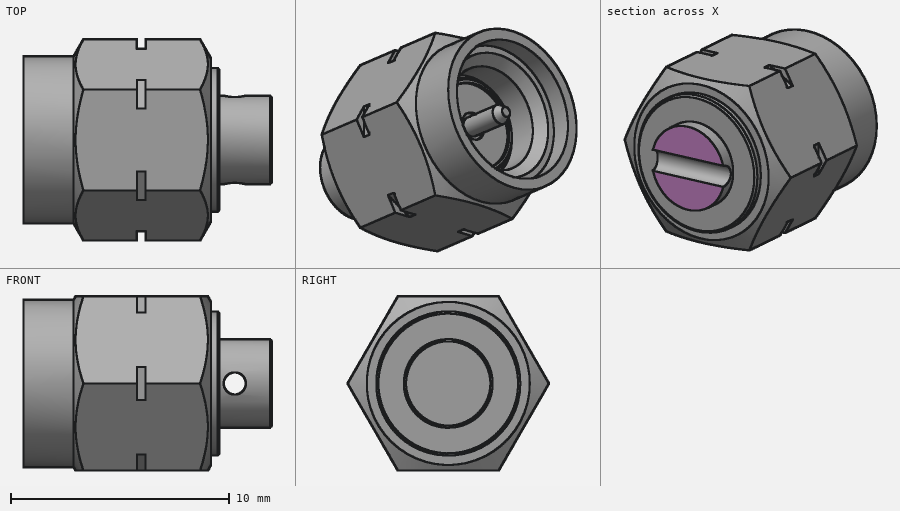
import cadquery as cq
import math

total_length = 11.4
hex_start = 2.3
hex_end = 8.61
flange_end = 9.0

collar_diameter = 7.7
hex_across_flats = 8.0
hex_end_face_diameter = 7.48
flange_diameter = 6.61
tail_diameter = 4.07
edge_chamfer = 0.1

hex_corner_radius = hex_across_flats / math.sqrt(3)
hex_chamfer_angle = 30.0
hex_sides = 6
notch_width = 0.4
notch_depth = 0.43
notch_center = 5.4

mouth_diameter = 6.65
mouth_depth = 1.0
cone_start_diameter = 5.97
socket_diameter = 4.97
cone_length = (cone_start_diameter - socket_diameter) / 2
socket_floor = 3.0

sleeve_diameter = 4.58
sleeve_face = 2.66
sleeve_chamfer = 0.1
insulator_diameter = 4.08
insulator_recess = 0.14
insulator_face = sleeve_face + insulator_recess

pin_diameter = 0.93
pin_tip_diameter = 0.48
pin_tip_start = 0.46
pin_tip_length = 0.4
pin_clearance_diameter = 1.3
pin_clearance_depth = 0.14
pin_root = insulator_face + pin_clearance_depth

cross_hole_diameter = 1.0
cross_hole_center = 9.69


def rod(start, end, diameter):
    """Cylinder on the X axis between two stations."""
    return cq.Workplane("YZ", origin=(start, 0, 0)).circle(diameter / 2).extrude(end - start)


def cone(start, end, start_diameter, end_diameter):
    """Truncated cone on the X axis between two stations."""
    outline = [
        (start, 0),
        (start, start_diameter / 2),
        (end, end_diameter / 2),
        (end, 0),
    ]
    return cq.Workplane("XY").polyline(outline).close().revolve(360, (0, 0, 0), (1, 0, 0))


def hexagon():
    """Hexagonal grip, corners on the Y axis, both ends turned to a cone."""
    slope = math.tan(math.radians(hex_chamfer_angle))
    start_radius = collar_diameter / 2
    end_radius = hex_end_face_diameter / 2
    start_chamfer = (hex_corner_radius - start_radius) * slope
    end_chamfer = (hex_corner_radius - end_radius) * slope
    turned_outline = [
        (hex_start, 0),
        (hex_start, start_radius),
        (hex_start + start_chamfer, hex_corner_radius),
        (hex_end - end_chamfer, hex_corner_radius),
        (hex_end, end_radius),
        (hex_end, 0),
    ]
    turned_blank = cq.Workplane("XY").polyline(turned_outline).close().revolve(360, (0, 0, 0), (1, 0, 0))
    prism = (
        cq.Workplane("YZ", origin=(hex_start, 0, 0))
        .polygon(hex_sides, 2 * hex_corner_radius)
        .extrude(hex_end - hex_start)
    )
    return prism.intersect(turned_blank)


def corner_notches():
    """Flat-bottomed cutters, one across each corner of the hexagon."""
    notches = cq.Workplane("XY")
    for corner in range(hex_sides):
        notch = (
            cq.Workplane("XY")
            .box(notch_width, 2 * notch_depth, hex_corner_radius)
            .translate((notch_center, hex_corner_radius, 0))
            .rotate((0, 0, 0), (1, 0, 0), corner * 360 / hex_sides)
        )
        notches = notches.add(notch)
    return notches.combine()


def socket():
    """Stepped cavity in the mating face, with a 45 degree lead-in."""
    cone_end = mouth_depth + cone_length
    return (
        rod(0, mouth_depth, mouth_diameter)
        .union(cone(mouth_depth, cone_end, cone_start_diameter, socket_diameter))
        .union(rod(cone_end, socket_floor, socket_diameter))
    )


def sleeve():
    """Sleeve with a chamfered rim and a recessed insulator."""
    return (
        rod(sleeve_face, socket_floor, sleeve_diameter)
        .faces("<X").chamfer(sleeve_chamfer)
        .cut(rod(sleeve_face, insulator_face, insulator_diameter))
        .cut(rod(insulator_face, pin_root, pin_clearance_diameter))
    )


def pin():
    """Center contact with a tapered tip."""
    taper_end = pin_tip_start + pin_tip_length
    tip = cone(pin_tip_start, taper_end, pin_tip_diameter, pin_diameter)
    return tip.union(rod(taper_end, pin_root, pin_diameter))


collar = rod(0, hex_start, collar_diameter)
flange = rod(hex_end, flange_end, flange_diameter).faces(">X").chamfer(edge_chamfer)
tail = rod(flange_end, total_length, tail_diameter).faces(">X").chamfer(edge_chamfer)
cross_hole = (
    cq.Workplane("XZ", origin=(cross_hole_center, 0, 0))
    .circle(cross_hole_diameter / 2)
    .extrude(tail_diameter, both=True)
)

body = collar.union(hexagon().cut(corner_notches())).union(flange).union(tail)
result = body.cut(socket()).union(sleeve()).union(pin()).cut(cross_hole)